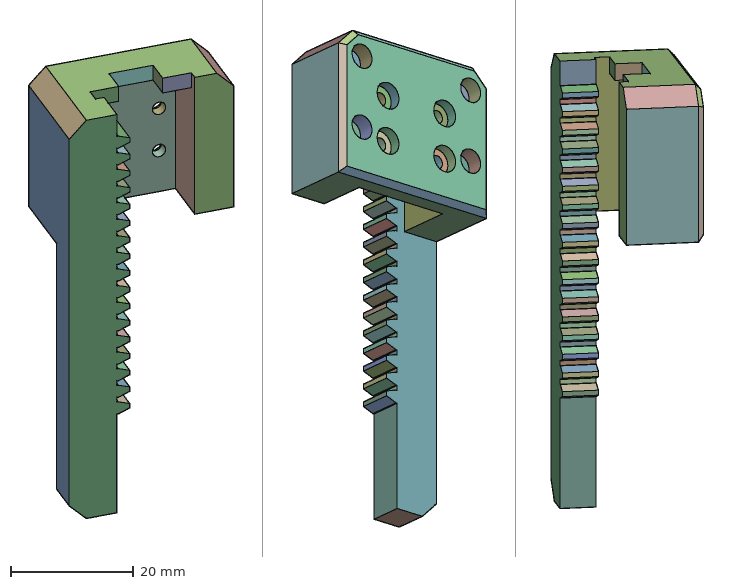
import cadquery as cq
import math

depth = 19.9
width = 31.4
height = 75.34

block_height = 25.9
block_bottom = height - block_height
block_depth = 13.0
ledge_depth = 11.4
rail_slot_depth = 6.9
carriage_floor_depth = 4.0
channel_width = 17.7
rail_slot_width = 7.7
lip_height = 2.8
corner_chamfer = 3.0
face_chamfer = 1.0
mid_y = width / 2

arm_thickness = 6.0
arm_front = depth - arm_thickness

module = 1.0
pressure_angle = math.radians(20)
pitch = math.pi * module
clearance = 0.25 * module
tip_y = 10.6
flank_end_y = tip_y - 2 * module
root_y = flank_end_y - clearance
flank_rise = module * math.tan(pressure_angle)
tip_half = pitch / 4 - flank_rise
base_half = pitch / 4 + flank_rise
tooth_count = 17
lowest_tooth_z = 19.8

screw_diameter = 2.3
screw_head_diameter = 4.6
screw_head_depth = 2.0
screw_spacing_y = 12.0
screw_spacing_z = 8.0
screw_top_offset = 10.15

corner_hole_diameter = 4.2
corner_hole_depth = 3.0
corner_hole_spacing_y = 23.0
corner_hole_spacing_z = 12.55
corner_hole_top_offset = 4.6


def box(x_range, y_range, z_range):
    """Box spanning the given (start, end) range along each axis."""
    corner = cq.Vector(x_range[0], y_range[0], z_range[0])
    size = [end - start for start, end in (x_range, y_range, z_range)]
    return cq.Workplane("XY").box(*size, centered=False).translate(corner)


def cut_channel(body, channel_floor, slot_width, top):
    """Cut a centered rear channel from the block's bottom up to the given height."""
    y_range = (mid_y - slot_width / 2, mid_y + slot_width / 2)
    return body.cut(box((channel_floor, depth), y_range, (block_bottom, top)))


def make_block():
    """Block with cut top corners, a beveled front face and a rear channel under a slotted top lip."""
    block = box((0, block_depth), (0, width), (block_bottom, height))
    block = block.edges("|X and >Z").chamfer(corner_chamfer)
    block = block.faces("<X").chamfer(face_chamfer)
    block = cut_channel(block, ledge_depth, channel_width, height)
    block = cut_channel(block, rail_slot_depth, rail_slot_width, height)
    return cut_channel(block, carriage_floor_depth, channel_width, height - lip_height)


def make_side_wall():
    """Wall joining the block to the rack arm beside the channel."""
    wall_width = (width - channel_width) / 2
    wall = box((ledge_depth, depth), (0, wall_width), (block_bottom, height))
    return wall.edges("|X and >Z and <Y").chamfer(corner_chamfer)


def make_arm():
    """Full-height bar behind the block, with its outer corners cut at both ends."""
    arm = box((arm_front, depth), (0, root_y), (0, height))
    return arm.edges("|X and <Y").chamfer(corner_chamfer)


def make_tooth(center_z):
    """One rack tooth on the inner side of the arm."""
    points = [
        (root_y, center_z - base_half),
        (flank_end_y, center_z - base_half),
        (tip_y, center_z - tip_half),
        (tip_y, center_z + tip_half),
        (flank_end_y, center_z + base_half),
        (root_y, center_z + base_half),
    ]
    profile = cq.Workplane("YZ").workplane(offset=arm_front).polyline(points).close()
    return profile.extrude(arm_thickness)


def hole_grid(diameter, hole_depth, spacing_y, spacing_z, top_offset):
    """Four cylinders going into the front face on a rectangular grid."""
    holes = cq.Workplane("YZ").center(mid_y, height - top_offset - spacing_z / 2)
    return holes.rarray(spacing_y, spacing_z, 2, 2).circle(diameter / 2).extrude(hole_depth)


result = make_block().union(make_side_wall()).union(make_arm())
for index in range(tooth_count):
    result = result.union(make_tooth(lowest_tooth_z + index * pitch))

screw_grid = (screw_spacing_y, screw_spacing_z, screw_top_offset)
corner_grid = (corner_hole_spacing_y, corner_hole_spacing_z, corner_hole_top_offset)
result = result.cut(hole_grid(screw_diameter, carriage_floor_depth, *screw_grid))
result = result.cut(hole_grid(screw_head_diameter, screw_head_depth, *screw_grid))
result = result.cut(hole_grid(corner_hole_diameter, corner_hole_depth, *corner_grid))